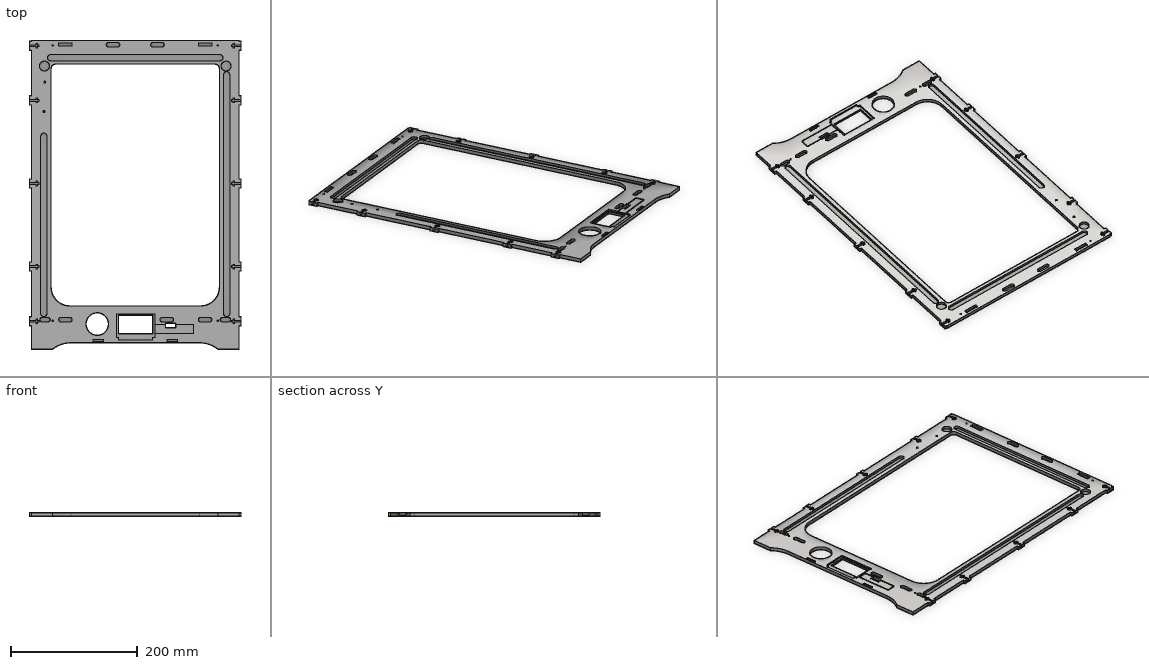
import cadquery as cq
THICKNESS = 6.0
LENGTH = 487.5
WIDTH = 327.5
TAB_SPAN = 334.0
FLOOR = 1.0
POCKET_DEPTH = THICKNESS - FLOOR
TOP_Z = THICKNESS / 2
BOTTOM_Z = -TOP_Z

FOOT_RISE = 10.0
FOOT_INNER_X = 130.5
FOOT_CURVE_X = 101.5

OPENING_WIDTH = 265.0
OPENING_TOP = 206.0
OPENING_BOTTOM = -175.0
OPENING_TOP_RADIUS = 7.0
OPENING_BOTTOM_RADIUS = 29.2

TAB_CENTER_Y = 18.0
TAB_OFFSETS = (-217.5, -131.0, 0.0, 131.0, 217.5)
TAB_LENGTH = 14.5
T_SLOT_END_X = 152.0
T_SLOT_WIDTH = 3.0
NUT_X = 155.5
NUT_LENGTH = 2.5
NUT_WIDTH = 7.5
SIDES = (-1, 1)

GROOVE_WIDTH = 9.8
GROOVE_DEPTH = 4.0
TOP_GROOVE_Y = 216.5
TOP_GROOVE_LENGTH = 277.0
SIDE_GROOVE_X = 144.5
SIDE_GROOVE_BOTTOM = -192.0
LEFT_GROOVE_TOP = 97.5
RIGHT_GROOVE_TOP = 194.5

CORNER_POCKET_X = 143.5
CORNER_POCKET_Y = 203.5
CORNER_POCKET_RADIUS = 8.0
CORNER_POCKET_DEPTH = 4.5

OUTER_SLOT_X = 110.0
SLOT_LENGTH = 21.5
SLOT_WIDTH = 7.0
TOP_SLOT_Y = 237.5
TOP_SLOT_WIDTH = 5.0
INNER_SLOT_X = 35.0
INNER_SLOT_Y = 237.0
LOWER_SLOT_Y = -197.0
END_SLOT_X = 142.5
END_SLOT_LENGTH = 16.5
EXTRA_SLOT_X = 49.5
EDGE_SLOT_X = 58.5
EDGE_SLOT_Y = -229.5
EDGE_SLOT_LENGTH = 16.5
EDGE_SLOT_WIDTH = 3.0

PIN_X = 130.0
PIN_YS = (236.0, -198.5)
PIN_RADIUS = 1.0
LEFT_HOLES = ((-143.0, 178.0), (-144.0, 131.5))
LEFT_HOLE_RADIUS = 1.5

ROUND_HOLE_X = -60.0
ROUND_HOLE_Y = -204.0
ROUND_HOLE_RADIUS = 17.5

RECESS_LEFT = -29.5
RECESS_RIGHT = 31.0
RECESS_TOP = -188.0
RECESS_BOTTOM = -224.5
RECESS_DEPTH = 2.5
WINDOW_LEFT = -26.5
WINDOW_RIGHT = 27.5
WINDOW_TOP = -190.0
WINDOW_BOTTOM = -219.0
LIP_BOTTOM = -229.0
CABLE_RIGHT = 91.5
CABLE_TOP = -204.5
CABLE_DEPTH = 1.0
CABLE_HOLE_LEFT = 48.0
CABLE_HOLE_RIGHT = 64.0
CABLE_HOLE_TOP = -203.0
CABLE_HOLE_BOTTOM = -209.5


def block(x0, x1, y0, y1, depth):
    """Box between two corners, sunk from the top face."""
    center = ((x0 + x1) / 2, (y0 + y1) / 2, TOP_Z)
    return cq.Workplane("XY", origin=center).rect(x1 - x0, y1 - y0).extrude(-depth)


def centered_block(x, y, length, width, depth):
    return block(x - length / 2, x + length / 2, y - width / 2, y + width / 2, depth)


def round_slot(x, y, length, width, depth, angle=0):
    return cq.Workplane("XY", origin=(x, y, TOP_Z)).slot2D(length, width, angle).extrude(-depth)


def round_hole(x, y, radius, depth):
    return cq.Workplane("XY", origin=(x, y, TOP_Z)).circle(radius).extrude(-depth)


def make_plate():
    """Flat plate with two feet that sweep up into the lower edge."""
    half = WIDTH / 2
    top = LENGTH / 2
    foot = -LENGTH / 2
    edge = foot + FOOT_RISE
    run = FOOT_INNER_X - FOOT_CURVE_X
    radius = (run**2 + FOOT_RISE**2) / (2 * FOOT_RISE)
    return (
        cq.Workplane("XY", origin=(0, 0, BOTTOM_Z))
        .moveTo(-half, top)
        .lineTo(half, top)
        .lineTo(half, foot)
        .lineTo(FOOT_INNER_X, foot)
        .radiusArc((FOOT_CURVE_X, edge), -radius)
        .lineTo(-FOOT_CURVE_X, edge)
        .radiusArc((-FOOT_INNER_X, foot), -radius)
        .lineTo(-half, foot)
        .close()
        .extrude(THICKNESS)
    )


def make_opening():
    half = OPENING_WIDTH / 2
    opening = block(-half, half, OPENING_BOTTOM, OPENING_TOP, THICKNESS)
    opening = opening.edges("|Z and >Y").fillet(OPENING_TOP_RADIUS)
    return opening.edges("|Z and <Y").fillet(OPENING_BOTTOM_RADIUS)


def add_tabs(frame):
    for offset in TAB_OFFSETS:
        y = TAB_CENTER_Y + offset
        frame = frame.union(centered_block(0, y, TAB_SPAN, TAB_LENGTH, THICKNESS))
    return frame


def cut_t_slots(frame):
    slot_length = TAB_SPAN / 2 - T_SLOT_END_X
    slot_x = TAB_SPAN / 2 - slot_length / 2
    for offset in TAB_OFFSETS:
        y = TAB_CENTER_Y + offset
        for side in SIDES:
            frame = frame.cut(centered_block(side * slot_x, y, slot_length, T_SLOT_WIDTH, POCKET_DEPTH))
            frame = frame.cut(centered_block(side * NUT_X, y, NUT_LENGTH, NUT_WIDTH, POCKET_DEPTH))
    return frame


def cut_grooves(frame):
    frame = frame.cut(round_slot(0, TOP_GROOVE_Y, TOP_GROOVE_LENGTH, GROOVE_WIDTH, GROOVE_DEPTH))
    for x, top in ((-SIDE_GROOVE_X, LEFT_GROOVE_TOP), (SIDE_GROOVE_X, RIGHT_GROOVE_TOP)):
        y = (top + SIDE_GROOVE_BOTTOM) / 2
        length = top - SIDE_GROOVE_BOTTOM
        frame = frame.cut(round_slot(x, y, length, GROOVE_WIDTH, GROOVE_DEPTH, 90))
    return frame


def cut_mirrored_pockets(frame):
    """Pockets and small holes that repeat on both sides of the middle."""
    for side in SIDES:
        outer_x = side * OUTER_SLOT_X
        pockets = [
            round_hole(side * CORNER_POCKET_X, CORNER_POCKET_Y, CORNER_POCKET_RADIUS, CORNER_POCKET_DEPTH),
            centered_block(outer_x, TOP_SLOT_Y, SLOT_LENGTH, TOP_SLOT_WIDTH, POCKET_DEPTH),
            round_slot(side * INNER_SLOT_X, INNER_SLOT_Y, SLOT_LENGTH, SLOT_WIDTH, POCKET_DEPTH),
            round_slot(outer_x, LOWER_SLOT_Y, SLOT_LENGTH, SLOT_WIDTH, POCKET_DEPTH),
            round_slot(side * END_SLOT_X, LOWER_SLOT_Y, END_SLOT_LENGTH, SLOT_WIDTH, POCKET_DEPTH),
            centered_block(side * EDGE_SLOT_X, EDGE_SLOT_Y, EDGE_SLOT_LENGTH, EDGE_SLOT_WIDTH, POCKET_DEPTH),
        ]
        pockets += [round_hole(side * PIN_X, y, PIN_RADIUS, POCKET_DEPTH) for y in PIN_YS]
        for pocket in pockets:
            frame = frame.cut(pocket)
    return frame


def cut_single_holes(frame):
    frame = frame.cut(round_slot(EXTRA_SLOT_X, LOWER_SLOT_Y, SLOT_LENGTH, SLOT_WIDTH, POCKET_DEPTH))
    for x, y in LEFT_HOLES:
        frame = frame.cut(round_hole(x, y, LEFT_HOLE_RADIUS, POCKET_DEPTH))
    return frame.cut(round_hole(ROUND_HOLE_X, ROUND_HOLE_Y, ROUND_HOLE_RADIUS, THICKNESS))


def cut_display(frame):
    """Stepped display recess with its window, and the shallow cable recess beside it."""
    frame = frame.cut(block(RECESS_LEFT, RECESS_RIGHT, RECESS_BOTTOM, RECESS_TOP, RECESS_DEPTH))
    frame = frame.cut(block(WINDOW_LEFT, WINDOW_RIGHT, LIP_BOTTOM, RECESS_TOP, RECESS_DEPTH))
    frame = frame.cut(block(WINDOW_LEFT, WINDOW_RIGHT, WINDOW_BOTTOM, WINDOW_TOP, THICKNESS))
    frame = frame.cut(block(RECESS_RIGHT, CABLE_RIGHT, WINDOW_BOTTOM, CABLE_TOP, CABLE_DEPTH))
    return frame.cut(
        block(CABLE_HOLE_LEFT, CABLE_HOLE_RIGHT, CABLE_HOLE_BOTTOM, CABLE_HOLE_TOP, THICKNESS)
    )


frame = add_tabs(make_plate()).cut(make_opening())
frame = cut_t_slots(frame)
frame = cut_grooves(frame)
frame = cut_mirrored_pockets(frame)
frame = cut_single_holes(frame)
frame = cut_display(frame)

result = cq.Compound.makeCompound([frame.val()])